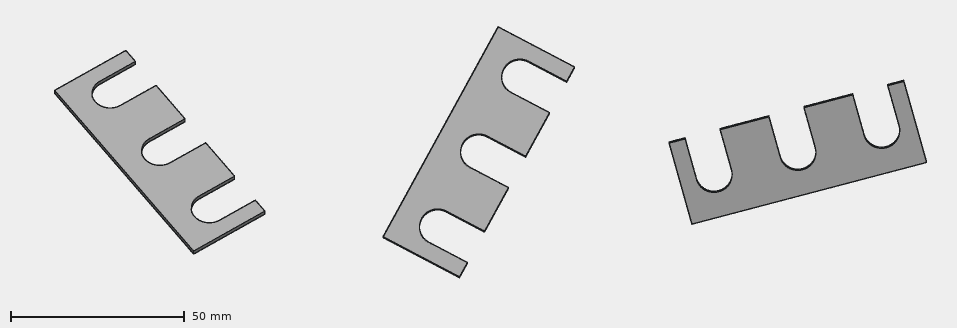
import cadquery as cq

length = 70.0
width = 25.0
thickness = 1.55

slot_count = 3
slot_pitch = 25.0
slot_width = 10.4
slot_center_y = 0.0

back_y = width / 2
slot_radius = slot_width / 2


def open_slot(center_x):
    """Cutter for one slot with a semicircular inner end."""
    left = center_x - slot_radius
    right = center_x + slot_radius
    return (
        cq.Workplane("XY")
        .moveTo(left, back_y)
        .lineTo(left, slot_center_y)
        .threePointArc((center_x, slot_center_y - slot_radius), (right, slot_center_y))
        .lineTo(right, back_y)
        .close()
        .extrude(thickness)
    )


result = cq.Workplane("XY").box(length, width, thickness, centered=(True, True, False))

for index in range(slot_count):
    offset = index - (slot_count - 1) / 2
    result = result.cut(open_slot(offset * slot_pitch))